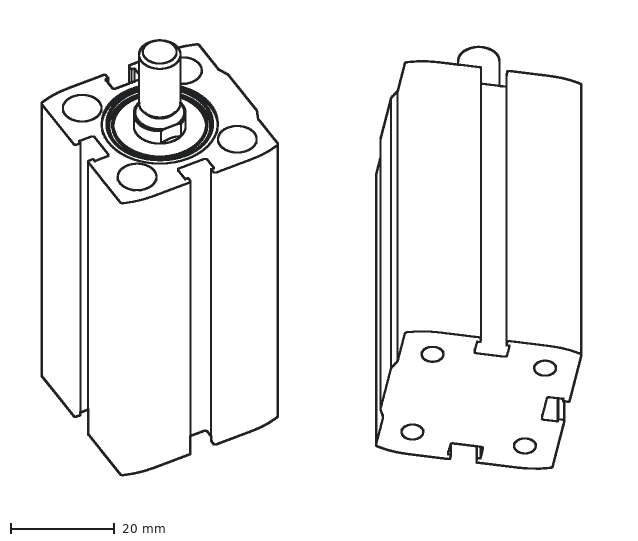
import cadquery as cq
import math


total_height = 91.0

body_height = 72.0
body_width = 34.5
body_depth = 34.6
half_width = body_width / 2
half_depth = body_depth / 2
flank_flat_half = 10.9
flank_inset = 1.2
corner_radius = 0.55
ridge_height = 0.9
ridge_top_half = 5.8
ridge_base_half = 7.9

slot_depth = 4.5
slot_lip = 1.3
slot_half = 3.2
slot_floor_radius = 0.5
mouth_half = 2.55
mouth_radius = 0.4

hole_offset = 11.0
counterbore_diameter = 7.5
counterbore_depth = 7.0
screw_diameter = 4.2
screw_chamfer = 0.5

recess_radius = 11.2
recess_depth = 0.6
crest_outer_radius = 10.3
crest_inner_radius = 10.0
groove_radius = 9.7
groove_depth = 0.6
rim_outer_radius = 9.2
rim_depth = 0.3
cover_radius = 8.9
cover_depth = 0.55

rod_diameter = 10.0
rod_insertion = rod_diameter
shoulder_height = 3.0
shoulder_chamfer = 0.3
flats_width = 9.0
thread_diameter = 8.0
neck_diameter = 6.4
neck_fillet = 0.55
neck_height = 0.8
thread_runout = 1.1
tip_chamfer = 0.7


def housing_block():
    """Square prism with curved flank ends and a ridge along the back."""
    corner_x = half_width - flank_inset
    curve_length = half_depth - flank_flat_half
    curve_radius = (curve_length**2 + flank_inset**2) / (2 * flank_inset)
    half_angle = math.asin(curve_length / curve_radius) / 2
    mid_x = half_width - curve_radius * (1 - math.cos(half_angle))
    mid_y = flank_flat_half + curve_radius * math.sin(half_angle)
    block = (
        cq.Workplane("XY")
        .moveTo(-corner_x, -half_depth)
        .lineTo(corner_x, -half_depth)
        .threePointArc((mid_x, -mid_y), (half_width, -flank_flat_half))
        .lineTo(half_width, flank_flat_half)
        .threePointArc((mid_x, mid_y), (corner_x, half_depth))
        .lineTo(-corner_x, half_depth)
        .threePointArc((-mid_x, mid_y), (-half_width, flank_flat_half))
        .lineTo(-half_width, -flank_flat_half)
        .threePointArc((-mid_x, -mid_y), (-corner_x, -half_depth))
        .close()
        .extrude(body_height)
    )
    for side_x in (-corner_x, corner_x):
        for side_y in (-half_depth, half_depth):
            near = (side_x - corner_radius, side_y - corner_radius, 0)
            far = (side_x + corner_radius, side_y + corner_radius, body_height)
            block = block.edges(cq.selectors.BoxSelector(near, far)).edges("|Z").fillet(corner_radius)
    ridge = (
        cq.Workplane("XY")
        .polyline([
            (-ridge_base_half, 0),
            (-ridge_base_half, half_depth),
            (-ridge_top_half, half_depth + ridge_height),
            (ridge_top_half, half_depth + ridge_height),
            (ridge_base_half, half_depth),
            (ridge_base_half, 0),
        ])
        .close()
        .extrude(body_height)
    )
    return block.union(ridge)


def slot_cutter(face_distance):
    """T-slot through the full height, opening on the face at Y = -face_distance."""
    lip_y = -face_distance + slot_lip
    floor_y = -face_distance + slot_depth
    middle_y = (lip_y + floor_y) / 2
    channel = (
        cq.Workplane("XY")
        .center(0, middle_y)
        .rect(2 * slot_half, slot_depth - slot_lip)
        .extrude(body_height)
        .faces(">Y")
        .edges("|Z")
        .fillet(slot_floor_radius)
    )
    flare_half = mouth_half + mouth_radius
    flare_mid = mouth_radius * (1 - math.sqrt(0.5))
    mouth = (
        cq.Workplane("XY")
        .moveTo(-flare_half, -face_distance)
        .lineTo(flare_half, -face_distance)
        .threePointArc(
            (mouth_half + flare_mid, -face_distance + flare_mid),
            (mouth_half, -face_distance + mouth_radius),
        )
        .lineTo(mouth_half, middle_y)
        .lineTo(-mouth_half, middle_y)
        .lineTo(-mouth_half, -face_distance + mouth_radius)
        .threePointArc(
            (-mouth_half - flare_mid, -face_distance + flare_mid),
            (-flare_half, -face_distance),
        )
        .close()
        .extrude(body_height)
    )
    return channel.union(mouth)


def revolve_about_rod(profile):
    """Solid of revolution about Z from (radius, height) points."""
    return cq.Workplane("XZ").polyline(profile).close().revolve(360, (0, 0, 0), (0, 1, 0))


def mounting_hole_cutter():
    """Counterbored through hole whose screw hole is chamfered at the counterbore floor."""
    screw_radius = screw_diameter / 2
    counterbore_radius = counterbore_diameter / 2
    floor_z = body_height - counterbore_depth
    return revolve_about_rod([
        (0, 0),
        (screw_radius, 0),
        (screw_radius, floor_z - screw_chamfer),
        (screw_radius + screw_chamfer, floor_z),
        (counterbore_radius, floor_z),
        (counterbore_radius, body_height),
        (0, body_height),
    ])


def end_recess_cutter():
    """Rod bore with everything above the cover disc, its rim and the retaining ring."""
    rod_radius = rod_diameter / 2
    bore_floor_z = body_height - rod_insertion
    cover_z = body_height - cover_depth
    rim_z = body_height - rim_depth
    bore_and_cover = revolve_about_rod([
        (0, bore_floor_z),
        (rod_radius, bore_floor_z),
        (rod_radius, cover_z),
        (cover_radius, cover_z),
        (cover_radius, rim_z),
        (rim_outer_radius, rim_z),
        (groove_radius, body_height - groove_depth),
        (crest_inner_radius, body_height),
        (0, body_height),
    ])
    ring_slope = revolve_about_rod([
        (crest_outer_radius, body_height),
        (recess_radius, body_height - recess_depth),
        (recess_radius, body_height),
    ])
    return bore_and_cover.add(ring_slope).combine()


def make_housing():
    housing = housing_block()
    side_slot = slot_cutter(half_width)
    for angle in (-90, 90):
        housing = housing.cut(side_slot.rotate((0, 0, 0), (0, 0, 1), angle))
    housing = housing.cut(slot_cutter(half_depth))
    for hole_x in (-hole_offset, hole_offset):
        for hole_y in (-hole_offset, hole_offset):
            housing = housing.cut(mounting_hole_cutter().translate((hole_x, hole_y, 0)))
    return housing.cut(end_recess_cutter())


def make_rod():
    """Rod with a shoulder, wrench flats, an undercut neck and a plain thread cylinder."""
    rod_radius = rod_diameter / 2
    thread_radius = thread_diameter / 2
    neck_radius = neck_diameter / 2
    shoulder_z = body_height + shoulder_height
    neck_start_z = shoulder_z + neck_fillet
    neck_end_z = neck_start_z + neck_height
    fillet_mid = neck_fillet * (1 - math.sqrt(0.5))
    rod = (
        cq.Workplane("XZ")
        .moveTo(0, body_height - rod_insertion)
        .lineTo(rod_radius, body_height - rod_insertion)
        .lineTo(rod_radius, shoulder_z - shoulder_chamfer)
        .lineTo(rod_radius - shoulder_chamfer, shoulder_z)
        .lineTo(neck_radius + neck_fillet, shoulder_z)
        .threePointArc(
            (neck_radius + fillet_mid, shoulder_z + fillet_mid),
            (neck_radius, neck_start_z),
        )
        .lineTo(neck_radius, neck_end_z)
        .lineTo(thread_radius, neck_end_z + thread_runout)
        .lineTo(thread_radius, total_height - tip_chamfer)
        .lineTo(thread_radius - tip_chamfer, total_height)
        .lineTo(0, total_height)
        .close()
        .revolve(360, (0, 0, 0), (0, 1, 0))
    )
    return rod.cut(flats_cutter(shoulder_z))


def flats_cutter(shoulder_z):
    """Stock beside the two wrench flats, which run out at the bottom over a cone."""
    rod_radius = rod_diameter / 2
    flat_x = flats_width / 2
    runout_z = body_height - cover_depth
    flats_length = shoulder_z - runout_z
    outside_flats = (
        cq.Workplane("XY", origin=(0, 0, runout_z))
        .rect(2 * rod_diameter, 2 * rod_diameter)
        .rect(flats_width, 2 * rod_diameter)
        .extrude(flats_length)
    )
    runout_cone = revolve_about_rod([
        (0, runout_z),
        (rod_radius, runout_z),
        (flat_x, runout_z + rod_radius - flat_x),
        (0, runout_z + rod_radius - flat_x),
    ])
    return outside_flats.cut(runout_cone)


housing = make_housing()
rod = make_rod()
result = cq.Compound.makeCompound([housing.val(), rod.val()])